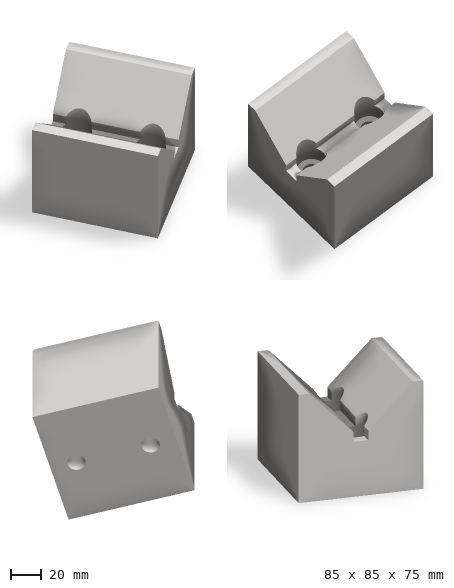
import cadquery as cq

length = 85.0
width = 85.0
height = 75.0

top_land = 7.2
slot_width = 10.0
slot_floor = 38.0
v_half_width = width / 2 - top_land
slot_half_width = slot_width / 2
slot_top = height - (v_half_width - slot_half_width)

hole_spacing = 50.0
hole_diameter = 12.0
counterbore_diameter = 20.0
counterbore_depth = 13.0
counterbore_floor = slot_floor - counterbore_depth


def make_block():
    return cq.Workplane("XY").box(length, width, height, centered=(True, True, False))


def make_groove():
    """V groove and relief slot, running the full length along X."""
    return (
        cq.Workplane("YZ")
        .moveTo(-v_half_width, height)
        .lineTo(-slot_half_width, slot_top)
        .lineTo(-slot_half_width, slot_floor)
        .lineTo(slot_half_width, slot_floor)
        .lineTo(slot_half_width, slot_top)
        .lineTo(v_half_width, height)
        .close()
        .extrude(length / 2, both=True)
    )


def make_cylinders(diameter, floor):
    """Vertical cutters at both mounting holes, from the floor to the block top."""
    return (
        cq.Workplane("XY", origin=(0, 0, floor))
        .pushPoints([(-hole_spacing / 2, 0), (hole_spacing / 2, 0)])
        .circle(diameter / 2)
        .extrude(height - floor)
    )


result = (
    make_block()
    .cut(make_groove())
    .cut(make_cylinders(hole_diameter, 0))
    .cut(make_cylinders(counterbore_diameter, counterbore_floor))
)